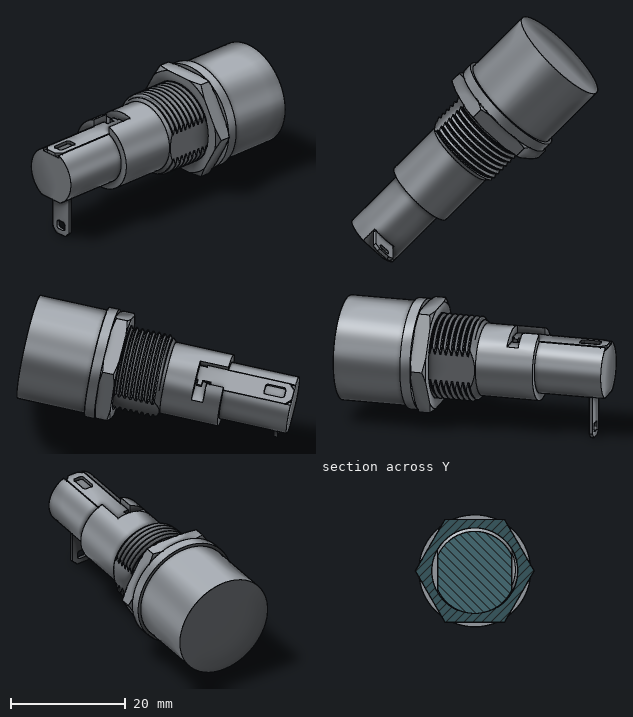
import cadquery as cq
import math


overall_length = 47.3

cap_radius = 9.2
cap_length = 12.25

flange_radius = 9.8
flange_thickness = 1.8
shank_length = 10.93
barrel_radius = 6.4
barrel_length = 10.3
tip_radius = 5.05
housing_reach = overall_length - cap_length - flange_thickness
barrel_end = shank_length + barrel_length
flats_width = 12.95

crest_radius = 7.45
thread_depth = 0.55
thread_pitch = 1.0
thread_turns = 10.6
thread_end = 10.65
crest_width = thread_pitch / 8
flank_angle = 30
groove_overcut = 0.1

nut_thickness = 2.7
nut_across_corners = 20.75
nut_bevel_radius = 9.35
nut_bevel_height = 0.4

terminal_thickness = 0.6
terminal_corner = 0.95
hole_corner = 0.45
hole_width = 1.95

seat_floor = 4.2
seat_width = 3.9
seat_start = 16.2
branch_width = 2.05

left_corner_length = 0.3
tab_length = 0.85
notch_end = 2.6
notch_depth = 0.95
right_corner_length = 1.32
right_corner_depth = 0.35
top_hole_length = 3.65
top_hole_from_end = 1.4

tip_flat_height = 4.5
bottom_terminal_y = 30.3
bottom_terminal_width = 4.1
bottom_terminal_reach = 12.3
bottom_hole_height = 1.6
bottom_hole_from_end = 1.0


def cylinder(radius, start, length):
    """Cylinder on the Y axis from Y = start toward -Y."""
    return cq.Workplane("XZ", origin=(0, start, 0)).circle(radius).extrude(length)


def box(x_range, y_range, z_range):
    """Box between the given pairs of limits."""
    ranges = (x_range, y_range, z_range)
    size = [high - low for low, high in ranges]
    corner = cq.Vector(*[low for low, high in ranges])
    return cq.Workplane(cq.Solid.makeBox(*size, corner))


def thread_groove():
    """Right-handed groove with sloped flanks, sunk into the crest cylinder."""
    spread = math.tan(math.radians(flank_angle))
    half_crest = (thread_pitch - crest_width) / 2
    half_root = half_crest - thread_depth * spread
    half_outer = half_crest + groove_overcut * spread
    root_radius = crest_radius - thread_depth
    outer_radius = crest_radius + groove_overcut
    helix = cq.Wire.makeHelix(thread_pitch, thread_turns * thread_pitch, root_radius)
    groove = (
        cq.Workplane("XZ")
        .polyline([
            (root_radius, -half_root),
            (outer_radius, -half_outer),
            (outer_radius, half_outer),
            (root_radius, half_root),
        ])
        .close()
        .sweep(cq.Workplane(helix), isFrenet=True)
    )
    return groove.rotate((0, 0, 0), (0, 1, 1), 180).translate((0, -thread_end, 0))


def threaded_stem():
    """Flange and threaded shank, bevelled down to the barrel, with two side flats."""
    shank = cylinder(crest_radius, 0, shank_length)
    shank = shank.faces("<Y").chamfer(crest_radius - barrel_radius)
    flange = cylinder(flange_radius, flange_thickness, flange_thickness)
    stem = flange.union(shank).cut(thread_groove())
    half_flats = flats_width / 2
    for inner, outer in ((-half_flats, -flange_radius), (half_flats, flange_radius)):
        side_range = sorted((inner, outer))
        stem = stem.cut(box(side_range, (-shank_length, 0), (-crest_radius, crest_radius)))
    return stem


def terminal_seat():
    """Slot and side branch that hold the top terminal."""
    half = seat_width / 2
    heights = (seat_floor, barrel_radius)
    slot = box((-half, half), (-housing_reach, -seat_start), heights)
    branch = box((-barrel_radius, half), (-seat_start - branch_width, -seat_start), heights)
    return slot.union(branch)


def make_housing():
    barrel = cylinder(barrel_radius, -shank_length, barrel_length)
    tip = cylinder(tip_radius, -barrel_end, housing_reach - barrel_end)
    tip_flat = box(
        (-tip_radius, tip_radius),
        (-housing_reach, -bottom_terminal_y),
        (-tip_radius, -tip_flat_height),
    )
    housing = threaded_stem().union(barrel).union(tip)
    return housing.cut(terminal_seat()).cut(tip_flat)


def make_cap():
    return cylinder(cap_radius, flange_thickness + cap_length, cap_length)


def make_nut():
    """Hexagon nut with bevelled corners, two of them pointing along X."""
    corner_radius = nut_across_corners / 2
    hexagon = cq.Workplane("XZ").polygon(6, nut_across_corners).extrude(nut_thickness)
    bevel_envelope = (
        cq.Workplane("XY")
        .polyline([
            (0, 0),
            (nut_bevel_radius, 0),
            (corner_radius, -nut_bevel_height),
            (corner_radius, nut_bevel_height - nut_thickness),
            (nut_bevel_radius, -nut_thickness),
            (0, -nut_thickness),
        ])
        .close()
        .revolve(axisStart=(0, 0, 0), axisEnd=(0, 1, 0))
    )
    return hexagon.intersect(bevel_envelope).cut(cylinder(crest_radius, 0, nut_thickness))


def make_top_terminal():
    """Flat strip in the seat, notched at its inner end and holed at its outer end."""
    half = seat_width / 2
    notch_x = notch_depth - half
    step_x = half - right_corner_depth
    tab_start = -seat_start - left_corner_length
    strip = (
        cq.Workplane("XY", origin=(0, 0, seat_floor))
        .polyline([
            (notch_x, -seat_start),
            (step_x, -seat_start),
            (step_x, -seat_start - right_corner_length),
            (half, -seat_start - right_corner_length),
            (half, terminal_corner - housing_reach),
            (half - terminal_corner, -housing_reach),
            (terminal_corner - half, -housing_reach),
            (-half, terminal_corner - housing_reach),
            (-half, -seat_start - notch_end),
            (notch_x, -seat_start - notch_end),
            (notch_x, tab_start - tab_length),
            (-half, tab_start - tab_length),
            (-half, tab_start),
            (notch_x, tab_start),
        ])
        .close()
        .extrude(terminal_thickness)
    )
    hole_start = top_hole_from_end - housing_reach
    hole = box(
        (-hole_width / 2, hole_width / 2),
        (hole_start, hole_start + top_hole_length),
        (seat_floor, seat_floor + terminal_thickness),
    )
    return strip.cut(hole.edges("|Z").fillet(hole_corner))


def make_bottom_terminal():
    """Strip hanging down from the flat on the tip."""
    half = bottom_terminal_width / 2
    thickness_range = (-bottom_terminal_y - terminal_thickness, -bottom_terminal_y)
    strip = box((-half, half), thickness_range, (-bottom_terminal_reach, -tip_flat_height))
    strip = strip.edges("|Y and <Z").chamfer(terminal_corner)
    hole_bottom = bottom_hole_from_end - bottom_terminal_reach
    hole = box(
        (-hole_width / 2, hole_width / 2),
        thickness_range,
        (hole_bottom, hole_bottom + bottom_hole_height),
    )
    return strip.cut(hole.edges("|Y").fillet(hole_corner))


cap = make_cap()
housing = make_housing()
nut = make_nut()
top_terminal = make_top_terminal()
bottom_terminal = make_bottom_terminal()

result = cq.Compound.makeCompound([
    cap.solids().val(),
    housing.solids().val(),
    nut.solids().val(),
    top_terminal.solids().val(),
    bottom_terminal.solids().val(),
])